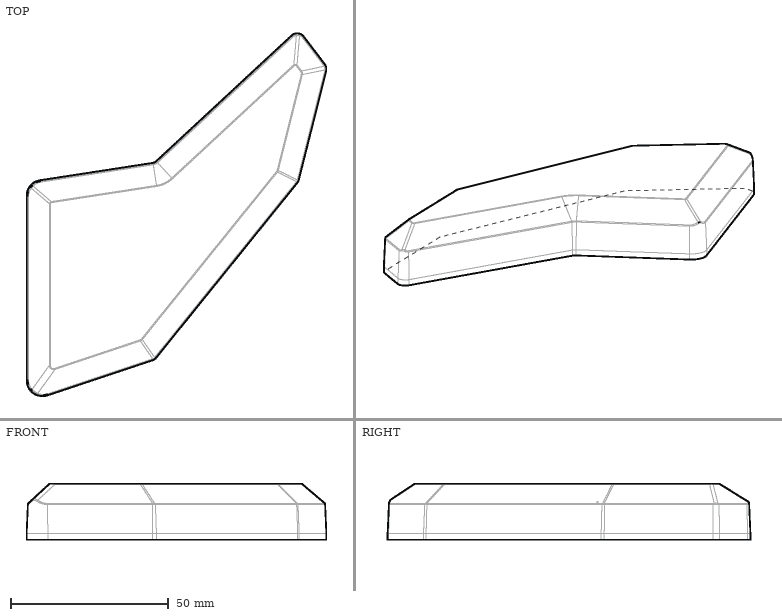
import cadquery as cq
import math

base_height = 2.03
eaves_level = 11.43
total_height = 17.78

wall_draft = 2.5
slope_inset = 6.9

back_radius = 5.08
corner_radius = 2.54
valley_radius = 2.0
soft_ridge_radius = 2.0
tight_ridge_radius = 1.0
edge_radius = 0.5

outward_corners = [
    ((0.00, -1.90), back_radius, soft_ridge_radius),
    ((0.00, 67.85), back_radius, tight_ridge_radius),
    ((86.06, 116.29), corner_radius, tight_ridge_radius),
    ((95.23, 104.25), corner_radius, soft_ridge_radius),
    ((86.15, 68.10), corner_radius, soft_ridge_radius),
    ((40.60, 11.65), corner_radius, soft_ridge_radius),
]
valley_corner = (40.60, 74.10)
valley_position = 2

wall_inset = (eaves_level - base_height) * math.tan(math.radians(wall_draft))
slope_height = total_height - eaves_level
slope_taper = math.degrees(math.atan2(slope_inset, slope_height))


def edge_nearest(solid, point):
    """The edge whose middle is nearest to a point."""
    return solid.edges(cq.selectors.NearestToPointSelector(point))


def sharp_prism():
    """Upright prism on the base outline, with only the valley corner rounded."""
    points = [point for point, _, _ in outward_corners]
    points.insert(valley_position, valley_corner)
    prism = cq.Workplane("XY").polyline(points).close().extrude(base_height)
    return edge_nearest(prism, (*valley_corner, base_height / 2)).fillet(valley_radius)


def base_plate():
    """Upright plate with all its corners rounded."""
    plate = sharp_prism()
    for point, radius, _ in outward_corners:
        plate = edge_nearest(plate, (*point, base_height / 2)).fillet(radius)
    return plate


def walled_block(height):
    """Base plate with drafted walls on it, up to the given height."""
    plate = base_plate()
    outline = plate.faces(">Z").wires().toPending()
    return plate.union(outline.extrude(height - base_height, combine=False, taper=wall_draft))


def hipped_roof():
    """Roof slopes rising from the eaves, with rounded ridges between them."""
    outline = sharp_prism().faces("<Z").wires().val()
    eaves = outline.offset2D(-wall_inset)[0].translate(cq.Vector(0, 0, eaves_level))
    roof = cq.Workplane("XY").add(eaves).toPending().extrude(slope_height, taper=slope_taper)
    sloping_edges = roof.edges("not #Z").vals()
    for point, _, ridge_radius in outward_corners:
        foot = cq.Vector(*point, eaves_level)
        ridge = min(sloping_edges, key=lambda edge: (edge.Center() - foot).Length)
        roof = edge_nearest(roof, ridge.Center().toTuple()).fillet(ridge_radius)
    return roof


def soften_edges(body):
    """Small rounding along the eaves and around the flat top."""
    lowest_eaves = eaves_level - edge_radius
    highest_eaves = eaves_level + slope_height / 3
    eaves = [edge for edge in body.edges().vals() if lowest_eaves < edge.Center().z < highest_eaves]
    body = body.newObject(eaves).fillet(edge_radius)
    return body.faces(">Z").edges().fillet(edge_radius)


lower_body = walled_block(eaves_level)
upper_body = walled_block(total_height).intersect(hipped_roof())
body = lower_body.union(upper_body)
result = soften_edges(body)